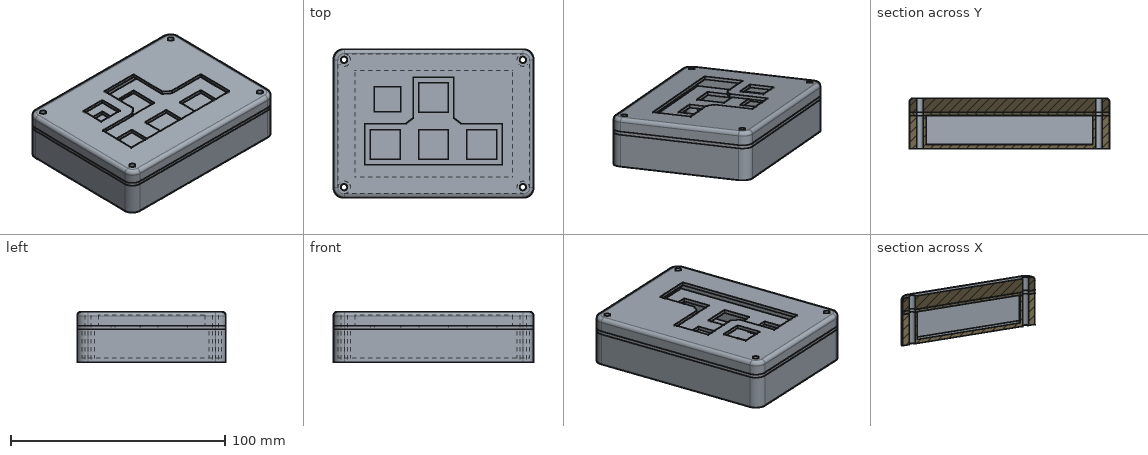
import cadquery as cq

LENGTH = 93.5
WIDTH = 69.5
CORNER_RADIUS = 5.05

BASE_HEIGHT = 15.5
PLATE_THICKNESS = 1.6
LID_HEIGHT = 6.5
PLATE_Z = BASE_HEIGHT
LID_Z = PLATE_Z + PLATE_THICKNESS

LID_ROOF = 1.5
LID_WALL = 10.0
LID_EDGE_RADIUS = 2.0
LID_CAVITY_HEIGHT = LID_HEIGHT - LID_ROOF

SCREW_HOLE_DIAMETER = 2.9
SCREW_SPACING_X = LENGTH - 2 * CORNER_RADIUS
SCREW_SPACING_Y = WIDTH - 2 * CORNER_RADIUS

KEY_SIZE = 13.8
KEY_PITCH_X = 22.5
KEY_PITCH_Y = 21.8
KEY_ROW_Y = -9.7
UPPER_KEY_Y = KEY_ROW_Y + KEY_PITCH_Y
KEY_CENTRES = [(-KEY_PITCH_X, KEY_ROW_Y), (0, KEY_ROW_Y), (KEY_PITCH_X, KEY_ROW_Y), (0, UPPER_KEY_Y)]
KEY_MARGIN = 2.6

SIDE_OPENING_X = -21.4
SIDE_OPENING_Y = 11.3
SIDE_OPENING_LENGTH = 12.4
SIDE_OPENING_WIDTH = 11.8

SCREW_BOSS_DIAMETER = 5.8
BASE_WALL = CORNER_RADIUS - SCREW_BOSS_DIAMETER / 2
BASE_FLOOR = BASE_WALL
BASE_CAVITY_HEIGHT = BASE_HEIGHT - BASE_FLOOR


def layer(bottom, height, top_radius=0):
    """Rounded rectangular slab with four screw holes and, if wanted, a rounded top edge."""
    slab = (
        cq.Workplane("XY")
        .workplane(offset=bottom)
        .rect(LENGTH, WIDTH)
        .extrude(height)
        .edges("|Z")
        .fillet(CORNER_RADIUS)
    )
    if top_radius:
        slab = slab.faces(">Z").edges().fillet(top_radius)
    return slab.cut(at_screws(bottom, height, SCREW_HOLE_DIAMETER))


def at_screws(bottom, height, diameter):
    """Four upright cylinders on the screw axes."""
    return (
        cq.Workplane("XY")
        .workplane(offset=bottom)
        .rect(SCREW_SPACING_X, SCREW_SPACING_Y, forConstruction=True)
        .vertices()
        .circle(diameter / 2)
        .extrude(height)
    )


def side_opening(bottom, height):
    """Prism that cuts the single rectangular opening."""
    return (
        cq.Workplane("XY")
        .workplane(offset=bottom)
        .center(SIDE_OPENING_X, SIDE_OPENING_Y)
        .rect(SIDE_OPENING_LENGTH, SIDE_OPENING_WIDTH)
        .extrude(height)
    )


def key_window(bottom, height):
    """Prism of the T-shaped window that clears all keys by the same margin."""
    half_window = KEY_SIZE / 2 + KEY_MARGIN
    row_end = KEY_PITCH_X + half_window
    row_bottom = KEY_ROW_Y - half_window
    row_top = KEY_ROW_Y + half_window
    stem_bottom = UPPER_KEY_Y - half_window
    stem_top = UPPER_KEY_Y + half_window
    bevel_end = KEY_PITCH_X - half_window
    right_side = [
        (row_end, row_bottom),
        (row_end, row_top),
        (bevel_end, row_top),
        (half_window, stem_bottom),
        (half_window, stem_top),
    ]
    left_side = [(-x, y) for x, y in reversed(right_side)]
    return (
        cq.Workplane("XY")
        .workplane(offset=bottom)
        .polyline(right_side + left_side)
        .close()
        .extrude(height)
    )


def make_base():
    """Open-topped box with a boss around each screw hole."""
    cavity = (
        cq.Workplane("XY")
        .workplane(offset=BASE_FLOOR)
        .rect(LENGTH - 2 * BASE_WALL, WIDTH - 2 * BASE_WALL)
        .extrude(BASE_CAVITY_HEIGHT)
        .edges("|Z")
        .fillet(SCREW_BOSS_DIAMETER / 2)
    )
    bosses = at_screws(BASE_FLOOR, BASE_CAVITY_HEIGHT, SCREW_BOSS_DIAMETER)
    return layer(0, BASE_HEIGHT).cut(cavity.cut(bosses))


def make_key_plate():
    """Thin plate with the key openings and the single opening."""
    key_openings = (
        cq.Workplane("XY")
        .workplane(offset=PLATE_Z)
        .pushPoints(KEY_CENTRES)
        .rect(KEY_SIZE, KEY_SIZE)
        .extrude(PLATE_THICKNESS)
    )
    plate = layer(PLATE_Z, PLATE_THICKNESS)
    return plate.cut(key_openings).cut(side_opening(PLATE_Z, PLATE_THICKNESS))


def make_lid():
    """Thick-walled lid with a rounded top edge and openings through its roof."""
    cavity = (
        cq.Workplane("XY")
        .workplane(offset=LID_Z)
        .rect(LENGTH - 2 * LID_WALL, WIDTH - 2 * LID_WALL)
        .extrude(LID_CAVITY_HEIGHT)
    )
    lid = layer(LID_Z, LID_HEIGHT, LID_EDGE_RADIUS).cut(cavity)
    return lid.cut(key_window(LID_Z, LID_HEIGHT)).cut(side_opening(LID_Z, LID_HEIGHT))


base = make_base()
key_plate = make_key_plate()
lid = make_lid()

result = cq.Compound.makeCompound([base.val(), key_plate.val(), lid.val()])